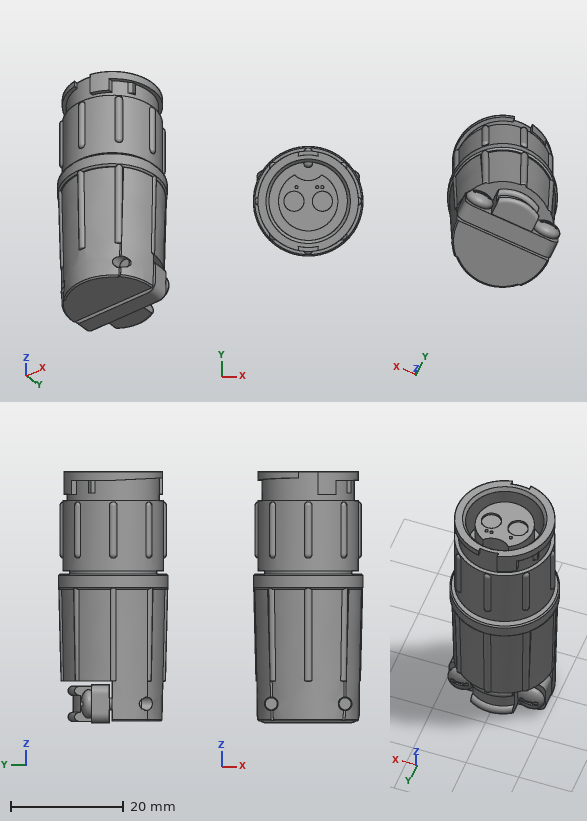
import cadquery as cq
import math

TOTAL_HEIGHT = 44.75
SHELL_BOTTOM = 0.3
RIB_BOTTOM = 7.45
SHELL_TOP = 23.75
COLLAR_BOTTOM = 24.1
COLLAR_TOP = 26.5
RING_BOTTOM = 27.1
RING_TOP = 39.58
RIM_BOTTOM = 43.2

SHELL_TAPER = 0.021
SHELL_RADIUS = 8.75
SIDE_STEP = 0.25
SIDE_HALF_WIDTH = 6.15
SHELL_EDGE = 0.25
CUT_FACE_Y = 0.2

COLLAR_DIAMETER = 19.55
COLLAR_RADIUS = COLLAR_DIAMETER / 2
COLLAR_CHAMFER = 0.25
GROOVE_RADIUS = 7.8

RIB_COUNT = 8
RIB_RADIUS = 0.7
RIB_END_FILLET = 0.22
SHELL_RIB_CREST_LOW = 9.3
SHELL_RIB_CREST_HIGH = 9.7
RING_RADIUS = 8.95
RING_RIB_CREST = 9.5
RING_RIB_LOW = 30.05
RING_RIB_HIGH = 38.7

NECK_RADIUS = 8.25
RIM_RADIUS = 8.95
RIM_GAP_HALF = 1.75
RIM_RAMP_RISE = 0.45
LUG_BOTTOM = 40.7
LUG_END_X = 4.95
STOP_CREST_X = 7.65
STOP_CREST_YS = [-3.95, -3.22]
STOP_TOE_X = 6.95
STOP_BOTTOM = 40.9

SOCKET_RADIUS = 7.0
SOCKET_CHAMFER_RADIUS = 0.55
SOCKET_CHAMFER_DEPTH = 0.65
SOCKET_FLOOR = 36.7
INSERT_RADIUS = 5.3
INSERT_TOP = 43.2
NOTCH_HALF_WIDTH = 2.4
NOTCH_BOTTOM_Y = 3.65
CONTACT_RADIUS = 1.8
CONTACT_SPACING = 5.05
CONTACT_X = CONTACT_SPACING / 2
CONTACT_DEPTH = 0.45
DOT_RADIUS = 0.25
DOT_Y = 2.5
DOT_DEPTH = 0.1
DOT_XS = [-2.05, 1.6, 2.5]
KEY_RADIUS = 0.8
KEY_Y = 6.8
KEY_SHOULDER = 42.5

BAR_HALF_LENGTH = 9.15
BAR_HEIGHT = 6.8
BAR_BACK_Y = 0.65
BAR_FRONT_Y = 3.85
BAR_CORNER = 1.65
CLAMP_MID_Z = BAR_HEIGHT / 2
SCREW_X = 6.6
SCREW_RADIUS = 1.07
SCREW_END_Y = -5.0
SCREW_HOLE_RADIUS = 1.2
HEAD_RADIUS = 2.55
HEAD_RIM_Y = 4.4
HEAD_TOP_Y = 5.78
HEAD_SLOT_WIDTH = 0.7
HEAD_SLOT_DEPTH = 0.35
SADDLE_HALF_WIDTH = 3.95
SADDLE_RIM_WIDTH = 1.65
SADDLE_RIM_OFFSET = 2.35
SADDLE_RIM_Y = 8.05
SADDLE_MID_Y = 7.15
SADDLE_ARC_CENTRE_Y = 0.8


def disc(radius, bottom, top):
    """Round disc on the connector axis between two heights."""
    return cq.Workplane("XY").workplane(offset=bottom).circle(radius).extrude(top - bottom)


def block(x_range, y_range, z_range):
    """Box given by its ranges along the three axes."""
    size = [high - low for low, high in (x_range, y_range, z_range)]
    corner = (x_range[0], y_range[0], z_range[0])
    return cq.Workplane("XY").box(*size, centered=False).translate(corner)


def tapered_shell(bottom_radius):
    """Rear shell cone that widens upwards, with a bevelled bottom edge."""
    height = SHELL_TOP - SHELL_BOTTOM
    top_radius = bottom_radius + SHELL_TAPER * height
    outline = (
        cq.Workplane("XZ")
        .moveTo(0, SHELL_BOTTOM)
        .lineTo(bottom_radius - SHELL_EDGE, SHELL_BOTTOM)
        .lineTo(bottom_radius, SHELL_BOTTOM + SHELL_EDGE)
        .lineTo(top_radius, SHELL_TOP)
        .lineTo(0, SHELL_TOP)
        .close()
    )
    return outline.revolve(360, (0, 0, 0), (0, 1, 0))


def around_axis(rib):
    """Equally spaced copies of a rib around the connector axis."""
    return [rib.rotate((0, 0, 0), (0, 0, 1), i * 360 / RIB_COUNT) for i in range(RIB_COUNT)]


def shell_ribs():
    """Leaning round ribs that run from the collar down the rear shell."""
    run = COLLAR_BOTTOM - RIB_BOTTOM
    rise = SHELL_RIB_CREST_HIGH - SHELL_RIB_CREST_LOW
    lean = math.degrees(math.atan2(rise, run))
    rib = cq.Workplane("XY").circle(RIB_RADIUS).extrude(math.hypot(run, rise))
    rib = rib.faces("<Z").edges().fillet(RIB_END_FILLET)
    rib = rib.rotate((0, 0, 0), (0, 1, 0), lean)
    return around_axis(rib.translate((SHELL_RIB_CREST_LOW - RIB_RADIUS, 0, RIB_BOTTOM)))


def ring_ribs():
    """Upright round ribs with ball ends on the coupling ring."""
    rib = cq.Workplane("XY").circle(RIB_RADIUS).extrude(RING_RIB_HIGH - RING_RIB_LOW)
    rib = rib.union(cq.Workplane("XY").sphere(RIB_RADIUS))
    rib = rib.union(cq.Workplane("XY").sphere(RIB_RADIUS).translate((0, 0, RING_RIB_HIGH - RING_RIB_LOW)))
    return around_axis(rib.translate((RING_RIB_CREST - RIB_RADIUS, 0, RING_RIB_LOW)))


def rear_shell():
    """Tapered shell with proud sides and ribs, cut flat for the clamp, under a collar."""
    reach = COLLAR_RADIUS + RIB_RADIUS
    side_band = block((-reach, reach), (-SIDE_HALF_WIDTH, SIDE_HALF_WIDTH), (0, SHELL_TOP))
    shell = tapered_shell(SHELL_RADIUS)
    shell = shell.union(tapered_shell(SHELL_RADIUS + SIDE_STEP).intersect(side_band))
    for rib in shell_ribs():
        shell = shell.union(rib)
    shell = shell.cut(block((-reach, reach), (CUT_FACE_Y, reach), (0, RIB_BOTTOM)))

    collar = disc(COLLAR_RADIUS, SHELL_TOP, COLLAR_TOP)
    collar = collar.faces(">Z").edges().chamfer(COLLAR_CHAMFER)
    collar = collar.faces("<Z").edges().chamfer(COLLAR_BOTTOM - SHELL_TOP)
    return shell.union(collar)


def rotation_stop():
    """Small wedge under the rim, with a flat crest and one sloping side."""
    toe_y = -math.sqrt(NECK_RADIUS**2 - STOP_TOE_X**2)
    stop = (
        cq.Workplane("XY")
        .workplane(offset=STOP_BOTTOM)
        .moveTo(STOP_TOE_X, toe_y)
        .lineTo(STOP_CREST_X, STOP_CREST_YS[0])
        .lineTo(STOP_CREST_X, STOP_CREST_YS[1])
        .lineTo(STOP_TOE_X, STOP_CREST_YS[1])
        .close()
    )
    return stop.extrude(RIM_BOTTOM - STOP_BOTTOM)


def bayonet_half():
    """One half of the bayonet rim: a lug at one end and a ramped underside at the other."""
    ring = disc(RIM_RADIUS, LUG_BOTTOM, TOTAL_HEIGHT)
    half = ring.intersect(block((RIM_GAP_HALF, RIM_RADIUS), (-RIM_RADIUS, RIM_RADIUS), (0, TOTAL_HEIGHT)))
    half = half.cut(block((LUG_END_X, RIM_RADIUS), (-RIM_RADIUS, 0), (0, RIM_BOTTOM)))
    below_ramp = (
        cq.Workplane("YZ")
        .moveTo(0, 0)
        .lineTo(RIM_RADIUS, 0)
        .lineTo(RIM_RADIUS, RIM_BOTTOM + RIM_RAMP_RISE)
        .lineTo(0, RIM_BOTTOM)
        .close()
        .extrude(RIM_RADIUS)
    )
    return half.cut(below_ramp).union(rotation_stop())


def socket():
    """Space of the open socket, with a bevelled mouth."""
    mouth_radius = SOCKET_RADIUS + SOCKET_CHAMFER_RADIUS
    outline = (
        cq.Workplane("XZ")
        .moveTo(0, SOCKET_FLOOR)
        .lineTo(SOCKET_RADIUS, SOCKET_FLOOR)
        .lineTo(SOCKET_RADIUS, TOTAL_HEIGHT - SOCKET_CHAMFER_DEPTH)
        .lineTo(mouth_radius, TOTAL_HEIGHT)
        .lineTo(0, TOTAL_HEIGHT)
        .close()
    )
    return outline.revolve(360, (0, 0, 0), (0, 1, 0))


def contact_insert():
    """Notched round insert with two contact recesses and their marking dots."""
    notch_corner_y = math.sqrt(INSERT_RADIUS**2 - NOTCH_HALF_WIDTH**2)
    insert = (
        cq.Workplane("XY")
        .workplane(offset=SOCKET_FLOOR)
        .moveTo(-NOTCH_HALF_WIDTH, notch_corner_y)
        .threePointArc((0, NOTCH_BOTTOM_Y), (NOTCH_HALF_WIDTH, notch_corner_y))
        .threePointArc((0, -INSERT_RADIUS), (-NOTCH_HALF_WIDTH, notch_corner_y))
        .close()
        .extrude(INSERT_TOP - SOCKET_FLOOR)
    )
    for x in (-CONTACT_X, CONTACT_X):
        insert = insert.cut(disc(CONTACT_RADIUS, INSERT_TOP - CONTACT_DEPTH, INSERT_TOP).translate((x, 0, 0)))
    for x in DOT_XS:
        insert = insert.cut(disc(DOT_RADIUS, INSERT_TOP - DOT_DEPTH, INSERT_TOP).translate((x, DOT_Y, 0)))
    return insert


def polarising_key():
    """Ball-ended key on the socket wall."""
    key = disc(KEY_RADIUS, SOCKET_FLOOR, KEY_SHOULDER)
    key = key.union(cq.Workplane("XY").sphere(KEY_RADIUS).translate((0, 0, KEY_SHOULDER)))
    return key.translate((0, KEY_Y, 0))


def front_shell():
    """Ribbed coupling ring, bayonet rim and the socket with its insert."""
    shell = disc(GROOVE_RADIUS, COLLAR_TOP, RING_BOTTOM)
    shell = shell.union(disc(RING_RADIUS, RING_BOTTOM, RING_TOP))
    for rib in ring_ribs():
        shell = shell.union(rib)
    shell = shell.union(disc(NECK_RADIUS, RING_TOP, TOTAL_HEIGHT))
    for angle in (0, 180):
        shell = shell.union(bayonet_half().rotate((0, 0, 0), (0, 0, 1), angle))
    return shell.cut(socket()).union(contact_insert()).union(polarising_key())


def rod_along_y(radius, x, y_low, y_high):
    """Round rod parallel to Y at the clamp mid height."""
    centre = cq.Vector(x, y_low, CLAMP_MID_Z)
    return cq.Workplane(cq.Solid.makeCylinder(radius, y_high - y_low, centre, cq.Vector(0, 1, 0)))


def make_housing():
    """Connector housing with clearance holes for the clamp screws."""
    housing = rear_shell().union(front_shell())
    for x in (-SCREW_X, SCREW_X):
        housing = housing.cut(rod_along_y(SCREW_HOLE_RADIUS, x, -COLLAR_RADIUS, CUT_FACE_Y))
    return housing


def clamp_screw(x):
    """Domed, slotted screw that passes through the bar."""
    head_rise = HEAD_TOP_Y - HEAD_RIM_Y
    base_angle = math.asin((BAR_FRONT_Y - HEAD_RIM_Y) / head_rise)
    base_radius = HEAD_RADIUS * math.cos(base_angle)
    head = (
        cq.Workplane("XY")
        .moveTo(0, BAR_FRONT_Y)
        .lineTo(base_radius, BAR_FRONT_Y)
        .ellipseArc(HEAD_RADIUS, head_rise, math.degrees(base_angle), 90, sense=1)
        .close()
        .revolve(360, (0, 0, 0), (0, 1, 0))
    )
    slot = block((-HEAD_RADIUS, HEAD_RADIUS), (HEAD_TOP_Y - HEAD_SLOT_DEPTH, HEAD_TOP_Y),
                 (-HEAD_SLOT_WIDTH / 2, HEAD_SLOT_WIDTH / 2))
    head = head.cut(slot).translate((x, 0, CLAMP_MID_Z))
    return head.union(rod_along_y(SCREW_RADIUS, x, SCREW_END_Y, BAR_FRONT_Y))


def saddle_rim(mid_z):
    """Round-nosed disc whose edge forms one arched rim of the saddle."""
    nose = SADDLE_RIM_WIDTH / 2
    reach = SADDLE_RIM_Y - SADDLE_ARC_CENTRE_Y
    rim = (
        cq.Workplane("XZ")
        .moveTo(0, mid_z - nose)
        .lineTo(reach - nose, mid_z - nose)
        .threePointArc((reach, mid_z), (reach - nose, mid_z + nose))
        .lineTo(0, mid_z + nose)
        .close()
    )
    return rim.revolve(360, (0, 0, 0), (0, 1, 0)).translate((0, SADDLE_ARC_CENTRE_Y, 0))


def saddle():
    """Arched saddle with a raised rim along each edge."""
    low_rim_z = CLAMP_MID_Z - SADDLE_RIM_OFFSET
    high_rim_z = CLAMP_MID_Z + SADDLE_RIM_OFFSET
    arch = disc(SADDLE_MID_Y - SADDLE_ARC_CENTRE_Y, low_rim_z, high_rim_z)
    arch = arch.translate((0, SADDLE_ARC_CENTRE_Y, 0))
    for rim_z in (low_rim_z, high_rim_z):
        arch = arch.union(saddle_rim(rim_z))
    above_bar = block((-SADDLE_HALF_WIDTH, SADDLE_HALF_WIDTH), (BAR_FRONT_Y, SADDLE_RIM_Y), (0, BAR_HEIGHT))
    return arch.intersect(above_bar)


def make_clamp():
    """Cable clamp: rounded bar, saddle between two rims, and its two screws."""
    clamp = block((-BAR_HALF_LENGTH, BAR_HALF_LENGTH), (BAR_BACK_Y, BAR_FRONT_Y), (0, BAR_HEIGHT))
    clamp = clamp.edges("|Y").fillet(BAR_CORNER)
    clamp = clamp.union(saddle())
    for x in (-SCREW_X, SCREW_X):
        clamp = clamp.union(clamp_screw(x))
    return clamp


housing = make_housing()
clamp = make_clamp()
result = cq.Compound.makeCompound([housing.val(), clamp.val()])